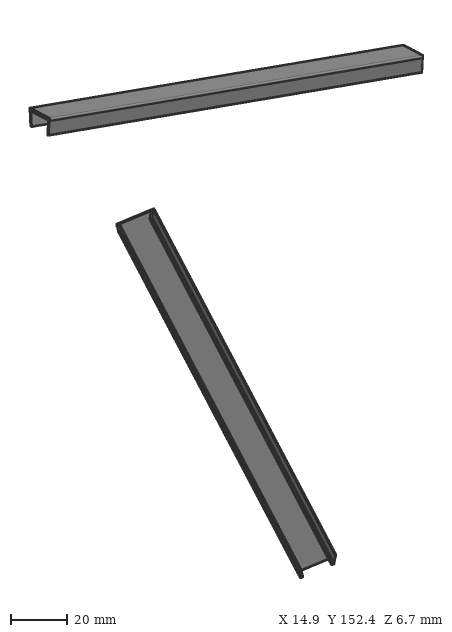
import cadquery as cq
import math

width = 14.91
length = 152.4
height = 6.7

wall_thickness = 1.02

bead_radius = 0.58

leg_lean_angle = 5.4
leg_root_outer_x = 7.18

tip_bevel = 0.3

half_width = width / 2
flat_half_width = half_width - bead_radius
leg_slope = math.tan(math.radians(leg_lean_angle))

leg_root_depth = bead_radius + math.sqrt(bead_radius**2 - (leg_root_outer_x - flat_half_width) ** 2)


def leg_outer_x(z):
    """Outer face of the right leg at height z; the plate top is at z = 0."""
    return leg_root_outer_x + leg_slope * (z + leg_root_depth)


def leg_inner_x(z):
    """Inner face of the right leg at height z."""
    return leg_outer_x(z) - wall_thickness


def make_half_profile():
    """Right half of the cross-section, closed along the centre plane."""
    bevel_top = -height + tip_bevel
    return (
        cq.Workplane("XZ", origin=(0, length / 2, 0))
        .moveTo(0, 0)
        .lineTo(flat_half_width, 0)
        .threePointArc((half_width, -bead_radius), (leg_root_outer_x, -leg_root_depth))
        .lineTo(leg_outer_x(bevel_top), bevel_top)
        .lineTo(leg_outer_x(-height) - tip_bevel, -height)
        .lineTo(leg_inner_x(-height), -height)
        .lineTo(leg_inner_x(-wall_thickness), -wall_thickness)
        .lineTo(0, -wall_thickness)
        .close()
    )


right_half = make_half_profile().extrude(length)
left_half = right_half.mirror("YZ")
result = right_half.union(left_half).clean()